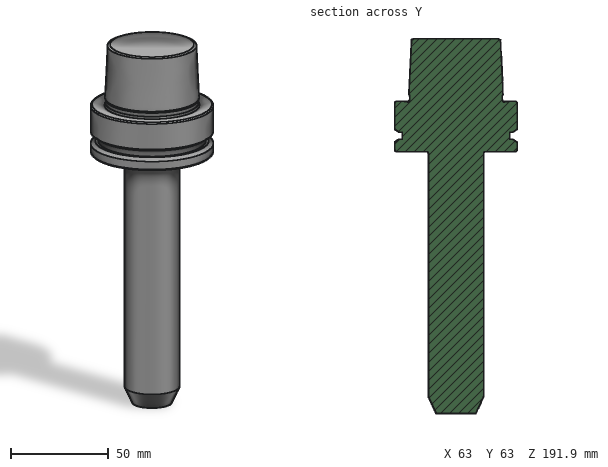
import cadquery as cq

total_length = 191.9

shank_top_radius = 22.8
shank_base_radius = 24.2
shank_length = 28.4
shank_rim_width = 1.3
shank_rim_height = 0.5

neck_radius = 23.8
neck_bevel_height = 1.0
neck_foot_radius = 24.4
neck_foot_height = 0.8

recess_radius = 26.5
recess_depth = 0.4

flange_radius = 31.5
flange_top_depth = 32.0
flange_thickness = 26.0
flange_chamfer = 0.8
groove_radius = 27.6
groove_width = 3.5
groove_offset = 16.0
groove_lip_radius = 29.2
groove_bevel_height = 1.5

stem_radius = 14.2
stem_root_radius = 14.5
stem_root_height = 1.0
tip_radius = 10.2
tip_length = 8.6

shank_base_z = total_length - shank_length
flange_top_z = total_length - flange_top_depth
flange_bottom_z = flange_top_z - flange_thickness
groove_top_z = flange_top_z - groove_offset
groove_bottom_z = groove_top_z - groove_width

stem_outline = [
    (0, 0),
    (tip_radius, 0),
    (stem_radius, tip_length),
    (stem_radius, flange_bottom_z - stem_root_height),
    (stem_root_radius, flange_bottom_z),
]
flange_outline = [
    (flange_radius - flange_chamfer, flange_bottom_z),
    (flange_radius, flange_bottom_z + flange_chamfer),
    (flange_radius, groove_bottom_z - groove_bevel_height),
    (groove_lip_radius, groove_bottom_z),
    (groove_radius, groove_bottom_z),
    (groove_radius, groove_top_z),
    (groove_lip_radius, groove_top_z),
    (flange_radius, groove_top_z + groove_bevel_height),
    (flange_radius, flange_top_z - flange_chamfer),
    (flange_radius - flange_chamfer, flange_top_z),
]
shank_outline = [
    (recess_radius, flange_top_z),
    (neck_foot_radius, flange_top_z - recess_depth),
    (neck_radius, flange_top_z + neck_foot_height),
    (neck_radius, shank_base_z - neck_bevel_height),
    (shank_base_radius, shank_base_z),
    (shank_top_radius, total_length - shank_rim_height),
    (shank_top_radius - shank_rim_width, total_length),
    (0, total_length),
]

result = (
    cq.Workplane("XZ")
    .polyline(stem_outline + flange_outline + shank_outline)
    .close()
    .revolve(360, (0, 0, 0), (0, 1, 0))
)